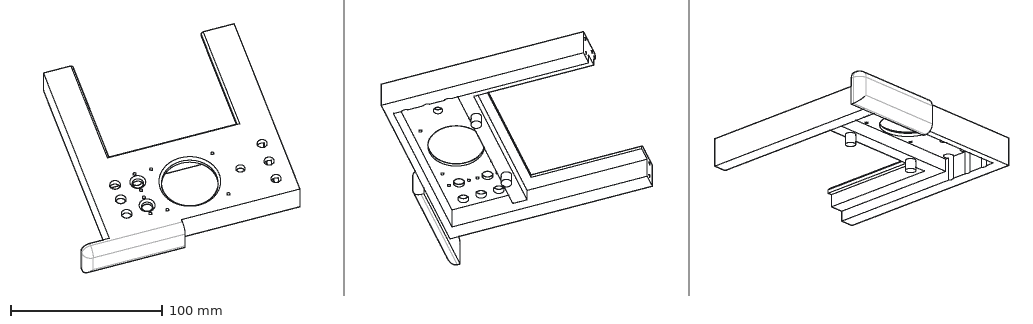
import cadquery as cq

frame_length = 142.7
total_width = 152.2
total_height = 25.0
frame_bottom = 5.0
frame_front = 19.6
top_thickness = 4.0
side_wall = 10.0
end_wall = 5.0

opening_depth = 78.0
opening_width = 88.9
opening_center_y = 84.7
edge_bevel = 1.5

ledge_width = 20.0
ledge_bottom = 12.2
bar_start = 84.7
bar_width = 10.0
post_diameter = 7.0
post_x = bar_start + bar_width / 2
post_spacing = 58.0

screw_diameter = 2.0

panel_center_x = 114.5
main_hole_diameter = 37.5
main_hole_bevel = 1.7
main_screw_spacing_x = 35.0
main_screw_spacing_y = 42.5
rear_row_y = 139.8
rear_row_pitch = 15.0
rear_row_diameter = 6.5
single_hole_y = 119.8
single_hole_diameter = 6.0
front_row_y = 36.7
front_row_pitch = 12.5
front_row_diameter = 7.0
socket_y = 51.8
socket_spacing = 20.1
socket_diameter = 7.5
socket_bevel = 1.5
socket_screw_spacing = 14.0

leg_screw_depth = 10.0
leg_screw_upper_z = 21.5
leg_screw_lower_z = 9.9
leg_screw_positions = [
    (148.7, leg_screw_upper_z),
    (135.8, leg_screw_upper_z),
    (147.0, leg_screw_lower_z),
    (25.0, leg_screw_upper_z),
    (25.0, leg_screw_lower_z),
]

flange_thickness = 7.9
flange_width = 69.9
flange_corner_radius = 6.1
flange_edge_radius = 6.0

plate_bottom = total_height - top_thickness
cavity_front = frame_front + side_wall
cavity_back = total_width - side_wall
ledge_front = total_width - ledge_width
bar_end = bar_start + bar_width


def box(x_range, y_range, z_range):
    """Axis-aligned block between the given limits."""
    lengths = [high - low for low, high in (x_range, y_range, z_range)]
    corner = (x_range[0], y_range[0], z_range[0])
    return cq.Workplane("XY").box(*lengths, centered=False).translate(corner)


def round_cutter(points, diameter):
    """Vertical cylinders that pass through the full height at the given points."""
    return cq.Workplane("XY").pushPoints(points).circle(diameter / 2).extrude(total_height)


def bevel_cutter(points, diameter, bevel):
    """45 degree cones that widen round holes at the top face."""
    cone = cq.Solid.makeCone(
        diameter / 2, diameter / 2 + bevel, bevel, cq.Vector(0, 0, total_height - bevel)
    )
    return cq.Workplane("XY").pushPoints(points).eachpoint(lambda place: cone.moved(place))


def row(center_x, y, pitch, count):
    """Points evenly spaced along X about center_x."""
    first_x = center_x - pitch * (count - 1) / 2
    return [(first_x + index * pitch, y) for index in range(count)]


def make_frame():
    """Hollow body, open below and at the leg ends, with ledge, cross bar and posts."""
    frame = box((0, frame_length), (frame_front, total_width), (frame_bottom, total_height))
    cavity = box((0, frame_length - end_wall), (cavity_front, cavity_back), (frame_bottom, plate_bottom))
    ledge = box((0, bar_end), (ledge_front, cavity_back), (ledge_bottom, plate_bottom))
    bar = box((bar_start, bar_end), (cavity_front, ledge_front), (ledge_bottom, plate_bottom))
    posts = (
        cq.Workplane("XY", origin=(post_x, opening_center_y, frame_bottom))
        .rarray(1.5, post_spacing, 1, 2)
        .circle(post_diameter / 2)
        .extrude(ledge_bottom - frame_bottom)
    )
    return frame.cut(cavity).union(ledge).union(bar).union(posts)


def make_opening():
    """Cutter for the gap between the legs, with a beveled upper edge on three sides."""
    y_range = (opening_center_y - opening_width / 2, opening_center_y + opening_width / 2)
    straight = box((0, opening_depth), y_range, (plate_bottom, total_height))
    bevel = (
        cq.Workplane("XY", origin=(0, opening_center_y, total_height))
        .rect(2 * (opening_depth + edge_bevel), opening_width + 2 * edge_bevel)
        .workplane(offset=-edge_bevel)
        .rect(2 * opening_depth, opening_width)
        .loft(ruled=True)
    )
    return straight.union(bevel)


def make_flange():
    """Upright plate on the +X end with one round corner and a rounded outer face."""
    flange = box((frame_length, frame_length + flange_thickness), (0, flange_width), (0, total_height))
    flange = flange.edges("<Y and >Z").fillet(flange_corner_radius)
    return flange.faces(">X").edges("not >Y").fillet(flange_edge_radius)


def cut_panel_holes(body):
    """Round openings through the top plate."""
    center = [(panel_center_x, opening_center_y)]
    main_screws = [
        point
        for side in (-1, 1)
        for point in row(
            panel_center_x, opening_center_y + side * main_screw_spacing_y / 2, main_screw_spacing_x, 2
        )
    ]
    sockets = row(panel_center_x, socket_y, socket_spacing, 2)
    holes = [
        (center, main_hole_diameter),
        (main_screws, screw_diameter),
        (row(panel_center_x, rear_row_y, rear_row_pitch, 3), rear_row_diameter),
        ([(panel_center_x, single_hole_y)], single_hole_diameter),
        (row(panel_center_x, front_row_y, front_row_pitch, 3), front_row_diameter),
        (sockets, socket_diameter),
    ]
    for socket_x, _ in sockets:
        holes.append((row(socket_x, socket_y, socket_screw_spacing, 2), screw_diameter))
    for points, diameter in holes:
        body = body.cut(round_cutter(points, diameter))
    body = body.cut(bevel_cutter(center, main_hole_diameter, main_hole_bevel))
    return body.cut(bevel_cutter(sockets, socket_diameter, socket_bevel))


def cut_leg_screws(body):
    """Blind screw holes in the leg ends."""
    cutter = (
        cq.Workplane("YZ")
        .pushPoints(leg_screw_positions)
        .circle(screw_diameter / 2)
        .extrude(leg_screw_depth)
    )
    return body.cut(cutter)


frame = make_frame().cut(make_opening())
frame = cut_panel_holes(frame)
frame = cut_leg_screws(frame)
result = frame.union(make_flange())